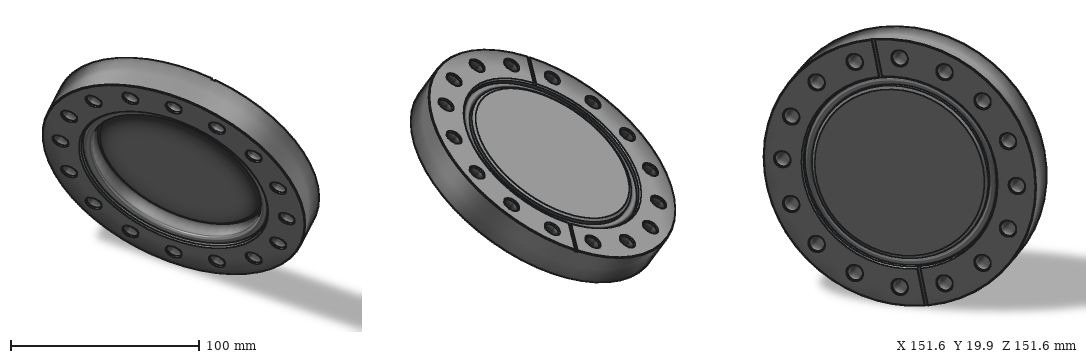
import cadquery as cq
FLANGE_DIAMETER = 151.6
FLANGE_THICKNESS = 19.9
RIM_CHAMFER = 0.5

BOLT_COUNT = 16
BOLT_CIRCLE_DIAMETER = 130.4
BOLT_HOLE_DIAMETER = 8.5
BOLT_HOLE_CHAMFER_WIDTH = 0.5
BOLT_HOLE_CHAMFER_DEPTH = 0.9

SLEEVE_OUTER_RADIUS = 53.7
SLEEVE_WALL = 4.7
SLEEVE_SETBACK = 1.5
BORE_CHAMFER = 0.9

WINDOW_RECESS = 11.2
WINDOW_CHAMFER_WIDTH = 1.8
WINDOW_CHAMFER_DEPTH = 0.9

GROOVE_COUNT = 2
GROOVE_WIDTH = 1.8
GROOVE_DEPTH = 0.9

flange_radius = FLANGE_DIAMETER / 2
front_y = -FLANGE_THICKNESS / 2
back_y = FLANGE_THICKNESS / 2
sleeve_inner_radius = SLEEVE_OUTER_RADIUS - SLEEVE_WALL
bolt_pitch_angle = 360 / BOLT_COUNT


def disc(radius, y_start, y_end):
    """Cylinder on the Y axis between two Y positions."""
    plane = cq.Plane(origin=(0, y_start, 0), xDir=(1, 0, 0), normal=(0, 1, 0))
    return cq.Workplane(plane).circle(radius).extrude(y_end - y_start)


def bolt_holes():
    """Ring of through holes with a chamfer at both mouths, each one revolved from half its section."""
    hole_radius = BOLT_HOLE_DIAMETER / 2
    mouth_radius = hole_radius + BOLT_HOLE_CHAMFER_WIDTH
    neck_y = back_y - BOLT_HOLE_CHAMFER_DEPTH
    section = [
        (0, front_y),
        (mouth_radius, front_y),
        (hole_radius, -neck_y),
        (hole_radius, neck_y),
        (mouth_radius, back_y),
        (0, back_y),
    ]
    hole = cq.Workplane("XY").polyline(section).close().revolve(360, (0, 0, 0), (0, 1, 0))
    hole = hole.translate((BOLT_CIRCLE_DIAMETER / 2, 0, 0))
    return [hole.rotate((0, 0, 0), (0, 1, 0), i * bolt_pitch_angle) for i in range(BOLT_COUNT)]


def leak_grooves():
    """Radial grooves in the back face, the first one half a bolt pitch away from +Z towards +X."""
    length = flange_radius - SLEEVE_OUTER_RADIUS
    groove = cq.Workplane("XY").box(GROOVE_WIDTH, GROOVE_DEPTH, length, centered=(True, False, False))
    groove = groove.translate((0, back_y - GROOVE_DEPTH, SLEEVE_OUTER_RADIUS))
    first_angle = bolt_pitch_angle / 2
    spacing = 360 / GROOVE_COUNT
    return [groove.rotate((0, 0, 0), (0, 1, 0), first_angle + i * spacing) for i in range(GROOVE_COUNT)]


def make_flange():
    """Chamfered disc with a chamfered bore, bolt holes and leak-check grooves."""
    flange = disc(flange_radius, front_y, back_y).edges().chamfer(RIM_CHAMFER)
    flange = flange.cut(disc(SLEEVE_OUTER_RADIUS, front_y, back_y))
    bore_edges = cq.selectors.RadiusNthSelector(0)
    flange = flange.edges(bore_edges).chamfer(BORE_CHAMFER)
    for cutter in bolt_holes() + leak_grooves():
        flange = flange.cut(cutter)
    return flange


def make_sleeve():
    """Tube section with semicircular ends, revolved about the Y axis."""
    end_radius = SLEEVE_WALL / 2
    middle_radius = SLEEVE_OUTER_RADIUS - end_radius
    tip_y = back_y - SLEEVE_SETBACK
    shoulder_y = tip_y - end_radius
    return (
        cq.Workplane("XY")
        .moveTo(sleeve_inner_radius, -shoulder_y)
        .threePointArc((middle_radius, -tip_y), (SLEEVE_OUTER_RADIUS, -shoulder_y))
        .lineTo(SLEEVE_OUTER_RADIUS, shoulder_y)
        .threePointArc((middle_radius, tip_y), (sleeve_inner_radius, shoulder_y))
        .close()
        .revolve(360, (0, 0, 0), (0, 1, 0))
    )


def make_window():
    """Disc with a shallow chamfer around both faces, revolved from half its section."""
    window_front_y = front_y + WINDOW_RECESS
    face_radius = sleeve_inner_radius - WINDOW_CHAMFER_WIDTH
    section = [
        (0, window_front_y),
        (face_radius, window_front_y),
        (sleeve_inner_radius, window_front_y + WINDOW_CHAMFER_DEPTH),
        (sleeve_inner_radius, back_y - WINDOW_CHAMFER_DEPTH),
        (face_radius, back_y),
        (0, back_y),
    ]
    return cq.Workplane("XY").polyline(section).close().revolve(360, (0, 0, 0), (0, 1, 0))


flange = make_flange()
sleeve = make_sleeve()
window = make_window()

result = cq.Compound.makeCompound([flange.val(), sleeve.val(), window.val()])